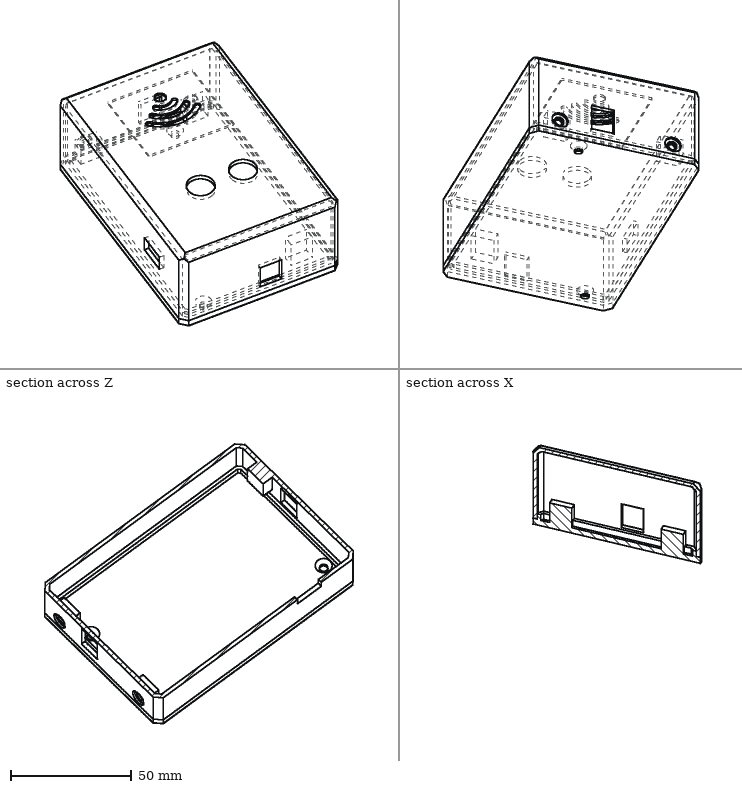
import cadquery as cq
import math

LENGTH = 110.0
WIDTH = 75.0
HEIGHT = 40.0
WALL = 2.0
EDGE_CHAMFER = 3.0
INNER_LENGTH = LENGTH - 2 * WALL
CEILING_Z = HEIGHT - WALL
END_WALL_X = (LENGTH - WALL) / 2
SIDE_WALL_Y = (WIDTH - WALL) / 2

BASE_THICKNESS = 3.0
LIP_THICKNESS = 1.5
LIP_TOP_Z = 6.0

MOUNT_HOLE_CENTRES = [(-47.1, 14.0), (47.9, -23.8)]
MOUNT_HOLE_DIAMETER = 3.5
MOUNT_SINK_DIAMETER = 7.0
MOUNT_SINK_DEPTH = (MOUNT_SINK_DIAMETER - MOUNT_HOLE_DIAMETER) / 2

BUTTON_DIAMETER = 12.0
BUTTON_X = 20.0
BUTTON_SPACING = 20.0

SIGNAL_X = -34.0
SIGNAL_DOT_DIAMETER = 5.0
SIGNAL_HALF_ANGLE = math.radians(45.0)
SIGNAL_SLOT_RADII = [(5.0, 7.5), (10.0, 12.7), (15.0, 17.5)]
SIGNAL_POCKET_LENGTH = 36.0
SIGNAL_POCKET_WIDTH = 40.0
SIGNAL_POCKET_DEPTH = 1.0
SIGNAL_POCKET_X = -25.0

END_WINDOW_WIDTH = 10.0
END_WINDOW_BOTTOM_Z = LIP_TOP_Z + 1.0
POWER_WINDOW_HEIGHT = 12.0
POWER_WINDOW_Y = 6.0
REAR_WINDOW_HEIGHT = 11.0
REAR_WINDOW_Y = 4.3
FRONT_WINDOW_WIDTH = 13.0
FRONT_WINDOW_HEIGHT = 7.0
FRONT_WINDOW_X = 28.3
FRONT_WINDOW_BOTTOM_Z = 17.0

SCREW_POSITIONS_Y = (-25.0, 25.0)
SCREW_Z = 8.0
SCREW_HEAD_DIAMETER = 7.0
SCREW_HEAD_DEPTH = 1.0
SCREW_HOLE_DIAMETER = 4.11
PILOT_DIAMETER = 3.09
PILOT_DEPTH = 0.4
TAB_THICKNESS = 5.0
TAB_WIDTH = 10.0
TAB_HEIGHT = 10.0

BLOCK_DEPTH = 5.0
BLOCK_WIDTH = 10.0
BLOCK_HEIGHT = 12.0
BLOCK_Y = 19.8
BLOCK_BOTTOM_Z = 10.6


def inset_chamfer(distance):
    """Chamfer that runs parallel to the outer edge chamfer once the sides move inward by distance."""
    return EDGE_CHAMFER - distance * (2 - math.sqrt(2))


def box(size_x, size_y, size_z, centre_x, centre_y, bottom_z):
    """A block centred on a point in X and Y that stands on bottom_z."""
    plane = cq.Workplane("XY", origin=(centre_x, centre_y, bottom_z))
    return plane.box(size_x, size_y, size_z, centered=(True, True, False))


def z_cylinder(diameter, bottom_z, height, centres):
    """Upright cylinders at the given centres."""
    plane = cq.Workplane("XY", origin=(0, 0, bottom_z))
    return plane.pushPoints(centres).circle(diameter / 2).extrude(height)


def screw_cylinder(diameter, start_x, depth, y):
    """A cylinder along +X on a screw axis."""
    return cq.Workplane("YZ", origin=(start_x, y, SCREW_Z)).circle(diameter / 2).extrude(depth)


def inset_block(inset, bottom_z, top_z):
    """The enclosure outline with its cut corners, moved inward by inset."""
    block = box(LENGTH - 2 * inset, WIDTH - 2 * inset, top_z - bottom_z, 0, 0, bottom_z)
    return block.edges("|Z").chamfer(inset_chamfer(inset))


def inset_hood(inset):
    """An inset block from the base plate up, with top edges chamfered too and mitred at the corners."""
    top_z = HEIGHT - inset
    hood = inset_block(inset, BASE_THICKNESS, top_z)
    for direction in ("|X", "|Y"):
        roof = box(LENGTH - 2 * inset, WIDTH - 2 * inset, top_z - BASE_THICKNESS, 0, 0, BASE_THICKNESS)
        roof = roof.edges(direction).edges(">Z").chamfer(inset_chamfer(inset))
        hood = hood.intersect(roof)
    return hood


def signal_slot(inner_radius, outer_radius):
    """A curved slot with round ends, centred on the signal dot and bulging towards +X."""
    mean_radius = (inner_radius + outer_radius) / 2
    half_width = (outer_radius - inner_radius) / 2
    cosine = math.cos(SIGNAL_HALF_ANGLE)
    sine = math.sin(SIGNAL_HALF_ANGLE)

    def end_corner(radius, side):
        return (radius * cosine, side * radius * sine)

    def end_tip(side):
        x, y = end_corner(mean_radius, side)
        return (x - half_width * sine, y + side * half_width * cosine)

    return (
        cq.Workplane("XY", origin=(SIGNAL_X, 0, CEILING_Z))
        .moveTo(*end_corner(inner_radius, -1))
        .threePointArc((inner_radius, 0), end_corner(inner_radius, 1))
        .threePointArc(end_tip(1), end_corner(outer_radius, 1))
        .threePointArc((outer_radius, 0), end_corner(outer_radius, -1))
        .threePointArc(end_tip(-1), end_corner(inner_radius, -1))
        .close()
        .extrude(WALL)
    )


def cut_windows(lid):
    power = box(WALL, END_WINDOW_WIDTH, POWER_WINDOW_HEIGHT, -END_WALL_X, POWER_WINDOW_Y, END_WINDOW_BOTTOM_Z)
    rear = box(WALL, END_WINDOW_WIDTH, REAR_WINDOW_HEIGHT, END_WALL_X, REAR_WINDOW_Y, END_WINDOW_BOTTOM_Z)
    front = box(
        FRONT_WINDOW_WIDTH, WALL, FRONT_WINDOW_HEIGHT, FRONT_WINDOW_X, -SIDE_WALL_Y, FRONT_WINDOW_BOTTOM_Z
    )
    return lid.cut(power).cut(rear).cut(front)


def cut_top_openings(lid):
    buttons = [(BUTTON_X, side * BUTTON_SPACING / 2) for side in (-1, 1)]
    lid = lid.cut(z_cylinder(BUTTON_DIAMETER, CEILING_Z, WALL, buttons))
    lid = lid.cut(z_cylinder(SIGNAL_DOT_DIAMETER, CEILING_Z, WALL, [(SIGNAL_X, 0)]))
    for inner_radius, outer_radius in SIGNAL_SLOT_RADII:
        lid = lid.cut(signal_slot(inner_radius, outer_radius))
    pocket = box(
        SIGNAL_POCKET_LENGTH, SIGNAL_POCKET_WIDTH, SIGNAL_POCKET_DEPTH, SIGNAL_POCKET_X, 0, CEILING_Z
    )
    return lid.cut(pocket)


def make_lid():
    lid = inset_hood(0).cut(inset_hood(WALL))
    lid = cut_windows(lid)
    lid = cut_top_openings(lid)
    for y in SCREW_POSITIONS_Y:
        lid = lid.cut(screw_cylinder(SCREW_HEAD_DIAMETER, -LENGTH / 2, SCREW_HEAD_DEPTH, y))
        lid = lid.cut(screw_cylinder(SCREW_HOLE_DIAMETER, -LENGTH / 2, WALL, y))
    block_x = (INNER_LENGTH - BLOCK_DEPTH) / 2
    return lid.union(box(BLOCK_DEPTH, BLOCK_WIDTH, BLOCK_HEIGHT, block_x, BLOCK_Y, BLOCK_BOTTOM_Z))


def cut_mounting_holes(base):
    base = base.cut(z_cylinder(MOUNT_HOLE_DIAMETER, 0, BASE_THICKNESS, MOUNT_HOLE_CENTRES))
    for x, y in MOUNT_HOLE_CENTRES:
        sink = cq.Solid.makeCone(
            MOUNT_HOLE_DIAMETER / 2,
            MOUNT_SINK_DIAMETER / 2,
            MOUNT_SINK_DEPTH,
            pnt=cq.Vector(x, y, BASE_THICKNESS - MOUNT_SINK_DEPTH),
        )
        base = base.cut(cq.Workplane(sink))
    return base


def make_base():
    base = inset_block(0, 0, BASE_THICKNESS)
    lip = inset_block(WALL, BASE_THICKNESS, LIP_TOP_Z)
    lip = lip.cut(inset_block(WALL + LIP_THICKNESS, BASE_THICKNESS, LIP_TOP_Z))
    base = base.union(lip)
    tab_x = -(INNER_LENGTH - TAB_THICKNESS) / 2
    for y in SCREW_POSITIONS_Y:
        base = base.union(box(TAB_THICKNESS, TAB_WIDTH, TAB_HEIGHT, tab_x, y, BASE_THICKNESS))
        base = base.cut(screw_cylinder(PILOT_DIAMETER, -INNER_LENGTH / 2, PILOT_DEPTH, y))
    return cut_mounting_holes(base)


lid = make_lid()
base = make_base()
result = cq.Compound.makeCompound([lid.solids().val(), base.solids().val()])